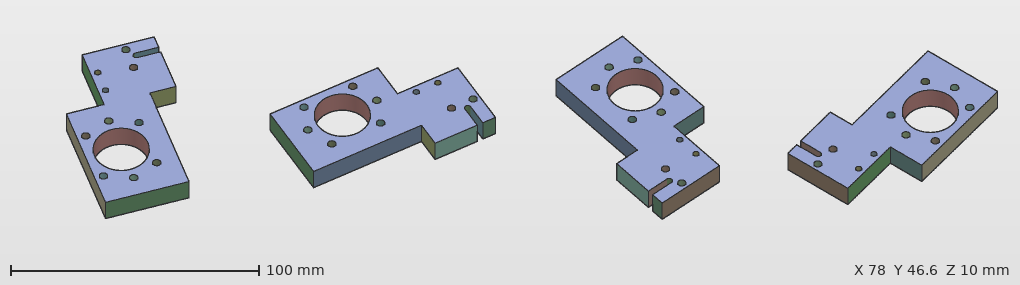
import cadquery as cq
import math

length = 78.0
width = 46.6
thickness = 10.0
tab_length = 28.0
tab_bottom = 16.0
block_width = 35.5

bore_x = (tab_length + length) / 2
bore_y = 15.0
bore_diameter = 22.6
ring_radius = 16.0
ring_hole_diameter = 3.35
ring_angles = (0, 45, 135, 180, 225, 315)

pair_spacing = 10.0
upper_pair_x = 3.0
upper_pair_y = 33.55
upper_hole_diameter = 3.3
lower_pair_x = 11.0
lower_pair_y = 18.95
lower_hole_diameter = 2.5

slot_x = 7.2
slot_width = 2.6
slot_depth = 11.2


def make_plate():
    outline = [
        (0, tab_bottom),
        (tab_length, tab_bottom),
        (tab_length, 0),
        (length, 0),
        (length, block_width),
        (tab_length, block_width),
        (tab_length, width),
        (0, width),
    ]
    return cq.Workplane("XY").polyline(outline).close().extrude(thickness)


def make_pins(points, diameter):
    """Cylinders through the full thickness, used as hole cutters."""
    return cq.Workplane("XY").pushPoints(points).circle(diameter / 2).extrude(thickness)


def make_ring_holes():
    points = []
    for degrees in ring_angles:
        angle = math.radians(degrees)
        x = bore_x + ring_radius * math.cos(angle)
        y = bore_y + ring_radius * math.sin(angle)
        points.append((x, y))
    return make_pins(points, ring_hole_diameter)


def make_pair(x, y, diameter):
    return make_pins([(x, y), (x + pair_spacing, y)], diameter)


def make_slot():
    half_width = slot_width / 2
    arc_start_y = width - slot_depth + half_width
    return (
        cq.Workplane("XY")
        .moveTo(slot_x - half_width, width)
        .lineTo(slot_x - half_width, arc_start_y)
        .threePointArc((slot_x, width - slot_depth), (slot_x + half_width, arc_start_y))
        .lineTo(slot_x + half_width, width)
        .close()
        .extrude(thickness)
    )


result = (
    make_plate()
    .cut(make_pins([(bore_x, bore_y)], bore_diameter))
    .cut(make_ring_holes())
    .cut(make_pair(upper_pair_x, upper_pair_y, upper_hole_diameter))
    .cut(make_pair(lower_pair_x, lower_pair_y, lower_hole_diameter))
    .cut(make_slot())
)